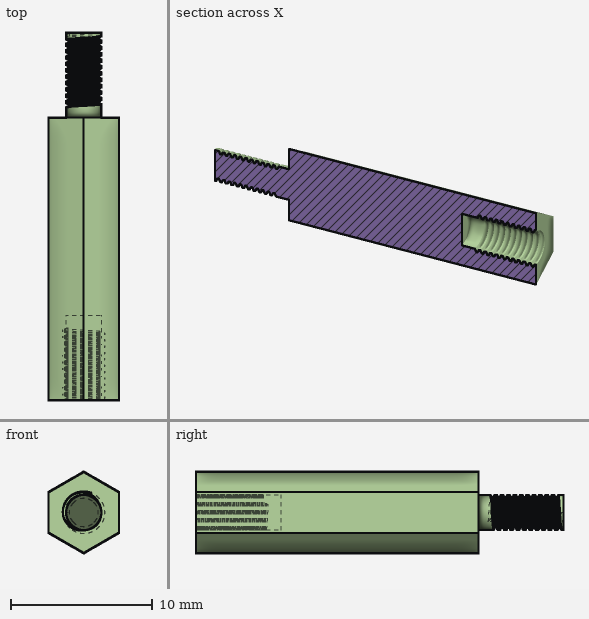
import cadquery as cq
import math

total_length = 26.0
stud_length = 6.0
body_length = total_length - stud_length
across_flats = 5.0
across_corners = across_flats / math.cos(math.pi / 6)

thread_diameter = 2.5
thread_radius = thread_diameter / 2
stud_turns = 11 + 1 / 12
stud_groove_length = 5.0
thread_pitch = stud_groove_length / stud_turns
groove_depth = 0.24
groove_mouth = 0.3
groove_root = thread_pitch / 6
overlap = 0.04

stud_runout = 0.83
stud_start_angle = 150.0

hole_depth = 6.0
hole_turns = 12
hole_start_angle = 205.0


def thread_cutter(root_direction, turns, start_height, start_angle):
    """Right-hand helical groove; root_direction is 1 for a root outside the cylinder, -1 inside."""
    flank_slope = (groove_mouth - groove_root) / 2 / groove_depth
    mouth_half = groove_mouth / 2 + flank_slope * overlap
    root_half = groove_root / 2
    mouth_radius = thread_radius - root_direction * overlap
    root_radius = thread_radius + root_direction * groove_depth

    helix = cq.Wire.makeHelix(thread_pitch, turns * thread_pitch, thread_radius)
    profile = cq.Workplane("XZ").polyline([
        (mouth_radius, -mouth_half),
        (root_radius, -root_half),
        (root_radius, root_half),
        (mouth_radius, mouth_half),
    ]).close()
    cutter = profile.sweep(cq.Workplane(obj=helix), isFrenet=True)
    return cutter.rotate((0, 0, 0), (0, 0, 1), start_angle).translate((0, 0, start_height))


def make_stud():
    stud = cq.Workplane("XY").workplane(offset=body_length).circle(thread_radius).extrude(stud_length)
    return stud.cut(thread_cutter(-1, stud_turns, body_length + stud_runout, stud_start_angle))


def make_body():
    body = cq.Workplane("XY").polygon(6, across_corners).extrude(body_length)
    body = body.rotate((0, 0, 0), (0, 0, 1), 30)
    hole = cq.Workplane("XY").circle(thread_radius).extrude(hole_depth)
    groove = thread_cutter(1, hole_turns, -thread_pitch, hole_start_angle)
    return body.cut(hole).cut(groove)


standoff = make_body().union(make_stud())
result = standoff.rotate((0, 0, 0), (1, 0, 0), -90).translate((0, -total_length / 2, 0))